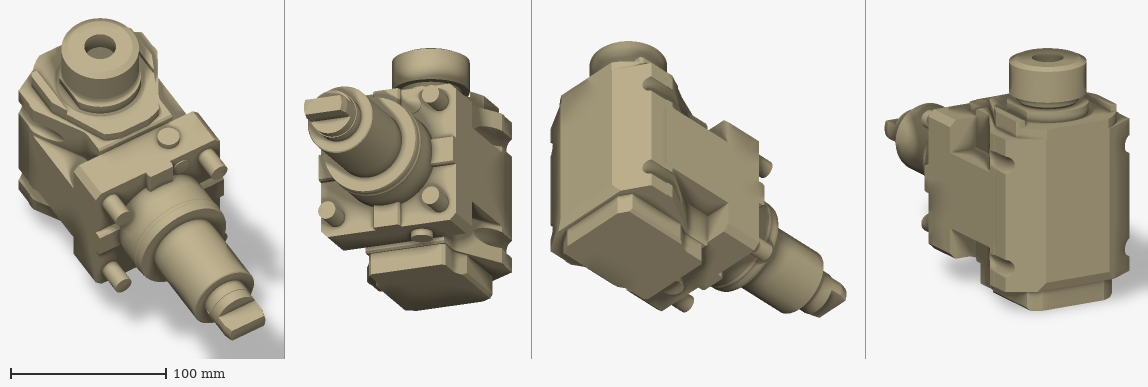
import cadquery as cq
import math


full_width = 94.0
half_width = full_width / 2
back_x = -38.0
front_x = 44.5
body_top = 52.2
body_bottom = -50.6
back_flat_half = 23.8
flank_angle = 30
flank_tangent = math.tan(math.radians(flank_angle))
side_relief = 0.5
side_relief_end_x = -10.9
body_front_chamfer = 1.3
toe_chamfer_height = 6.2
toe_chamfer_depth = 2.9

relief_floor = 25.3
neck_half_width = 27.5
neck_corner_x = 27.5
neck_blend = 10.7
relief_floor_fillet = 1.0
cutter_overrun = 11.0

screw_y = 36.2
screw_z = 34.9
screw_radius = 6.0
screw_end_x = 88.8
groove_tilt = 8.0
groove_start_x = -37.7
groove_length = 57.7

flange_end_x = 72.0
flange_half_height = 46.8
flange_chamfer = 4.2
key_half_width = 9.0
key_end_x = 76.8
key_chamfer_length = 1.8
key_chamfer_width = 0.9
key_inner_radius = 31.0
pin_x = 56.8
pin_y = 17.0
pin_radius = 7.0
pin_end = 51.0
face_boss_radius = 5.8
face_boss_height = 0.7
face_boss_z = 35.5

pilot_radius = 32.5
pilot_end_x = 104.1
pilot_lead_length = 2.0
pilot_lead_depth = 0.5
seal_x = 96.8
seal_half_length = 1.5
seal_protrusion = 0.5
shank_radius = 22.6
shank_end_x = 154.7
shank_chamfer = 0.7
nose_radius = 15.0
nose_end_x = 163.0
tang_base_radius = 14.7
tang_base_end_x = 170.0
tang_end_x = 184.0
tang_half_thickness = 5.0
tang_taper_x = 178.0
tang_tip_radius = 13.0
dimple_x = 159.0
dimple_radius = 1.3
dimple_depth = 1.3

cover_top = 58.8
cover_radius = 44.5
cover_half_width = 37.7
cover_front_x = 43.3
cover_diagonal_start_x = 2.0
cover_diagonal_end = (39.3, 20.6)
rail_top = 62.8
rail_width = 5.3
rail_back_x = -25.5
rail_front_x = 12.5
recess_floor_radius = 28.0
recess_mouth_radius = 29.7
recess_depth = 0.9

ring_radius = 26.5
ring_top = 64.8
ring_lip_height = 0.9
ring_flat_half = 23.0
ring_lip_flat_half = 23.8
neck_radius = 20.2
neck_cone_radius = 18.6
neck_cone_top = 66.4
nut_radius = 25.0
nut_bottom = 71.0
nut_top = 94.0
nut_chamfer_width = 4.2
nut_chamfer_height = 2.0
bore_radius = 10.2
bore_depth = 13.3

base_bottom = -64.8
base_back_x = -32.5
base_front_x = 42.0
base_half_width = 31.7
base_back_flat_half = 23.0
base_diagonal_start_x = 15.8
base_neck_half_width = 26.6
base_neck_blend = 9.5
base_chamfer = 2.0


def box(x_min, x_max, y_min, y_max, z_min, z_max):
    """Box between two opposite corners."""
    return (
        cq.Workplane("XY")
        .box(x_max - x_min, y_max - y_min, z_max - z_min, centered=False)
        .translate((x_min, y_min, z_min))
    )


def both_sides(half_points):
    """Closed XY outline from the +Y half, listed from back to front."""
    mirrored = [(x, -y) for x, y in reversed(half_points)]
    return half_points + mirrored


def corner_relief(side, level):
    """Cutter for one housing corner: a diagonal wall blended into a wall along X."""
    outside_y = half_width + cutter_overrun
    start_x = neck_corner_x - (outside_y - neck_half_width) / flank_tangent
    end_x = front_x + cutter_overrun
    cutter_height = body_top - relief_floor + cutter_overrun
    cutter = (
        cq.Workplane("XY")
        .workplane(offset=relief_floor)
        .polyline([
            (start_x, outside_y),
            (neck_corner_x, neck_half_width),
            (end_x, neck_half_width),
            (end_x, outside_y),
        ])
        .close()
        .extrude(cutter_height)
    )
    neck_edge = cq.selectors.NearestToPointSelector(
        (neck_corner_x, neck_half_width, relief_floor + cutter_height / 2)
    )
    cutter = cutter.edges(neck_edge).fillet(neck_blend)
    wall_foot = cq.selectors.NearestToPointSelector(
        ((neck_corner_x + end_x) / 2, neck_half_width, relief_floor)
    )
    cutter = cutter.edges(wall_foot).fillet(relief_floor_fillet)
    if side < 0:
        cutter = cutter.mirror("XZ")
    if level < 0:
        cutter = cutter.mirror("XY")
    return cutter


def access_groove(side, level):
    """Round groove that starts on the flank and sinks gently inwards towards the screw."""
    tilt = math.radians(groove_tilt)
    flank_end_x = back_x + (half_width - back_flat_half) * flank_tangent
    start_y = half_width + (flank_end_x - groove_start_x) * math.tan(tilt)
    start = cq.Vector(groove_start_x, side * start_y, level * screw_z)
    direction = cq.Vector(math.cos(tilt), -side * math.sin(tilt), 0)
    return cq.Workplane(cq.Solid.makeCylinder(screw_radius, groove_length, start, direction))


def make_housing():
    relieved_half = half_width - side_relief
    flank_end_x = back_x + (relieved_half - back_flat_half) * flank_tangent
    outline = both_sides([
        (back_x, back_flat_half),
        (flank_end_x, relieved_half),
        (side_relief_end_x, relieved_half),
        (side_relief_end_x, half_width),
        (front_x, half_width),
    ])
    body = (
        cq.Workplane("XY")
        .workplane(offset=body_bottom)
        .polyline(outline)
        .close()
        .extrude(body_top - body_bottom)
    )
    body = body.faces(">X").edges("|Y").chamfer(body_front_chamfer)
    toe = (
        cq.Workplane("XZ")
        .polyline([
            (back_x, body_bottom + toe_chamfer_height),
            (back_x + toe_chamfer_depth, body_bottom),
            (back_x, body_bottom),
        ])
        .close()
        .extrude(half_width, both=True)
    )
    body = body.cut(toe)
    for side in (1, -1):
        for level in (1, -1):
            body = body.cut(corner_relief(side, level))
            body = body.cut(access_groove(side, level))
    return body


def make_key(angle, outer_distance):
    """Driving key on the flange face, turned about X to one of the four sides."""
    plan = both_sides([
        (front_x, key_half_width),
        (key_end_x - key_chamfer_length, key_half_width),
        (key_end_x, key_half_width - key_chamfer_width),
    ])
    return (
        cq.Workplane("XY")
        .workplane(offset=key_inner_radius)
        .polyline(plan)
        .close()
        .extrude(outer_distance - key_inner_radius)
        .rotate((0, 0, 0), (1, 0, 0), angle)
    )


def make_flange():
    flange = box(
        front_x, flange_end_x, -half_width, half_width, -flange_half_height, flange_half_height
    )
    flange = flange.edges("|X").chamfer(flange_chamfer)
    for angle in (0, 180):
        flange = flange.union(make_key(angle, flange_half_height))
    for angle in (90, 270):
        flange = flange.union(make_key(angle, half_width))
    screws = (
        cq.Workplane("YZ")
        .workplane(offset=front_x)
        .rect(2 * screw_y, 2 * screw_z, forConstruction=True)
        .vertices()
        .circle(screw_radius)
        .extrude(screw_end_x - front_x)
    )
    pin = cq.Workplane("XY").center(pin_x, pin_y).circle(pin_radius).extrude(pin_end, both=True)
    face_boss = (
        cq.Workplane("YZ")
        .workplane(offset=front_x)
        .center(pin_y, face_boss_z)
        .circle(face_boss_radius)
        .extrude(flange_end_x + face_boss_height - front_x)
    )
    return flange.union(screws).union(pin).union(face_boss)


def make_shank():
    before_seal = [
        (front_x, 0),
        (front_x, pilot_radius),
        (seal_x - seal_half_length, pilot_radius),
    ]
    seal_crest = (seal_x, pilot_radius + seal_protrusion)
    seal_end = (seal_x + seal_half_length, pilot_radius)
    after_seal = [
        (pilot_end_x - pilot_lead_length, pilot_radius),
        (pilot_end_x, pilot_radius - pilot_lead_depth),
        (pilot_end_x, shank_radius),
        (shank_end_x - shank_chamfer, shank_radius),
        (shank_end_x, shank_radius - shank_chamfer),
        (shank_end_x, nose_radius),
        (nose_end_x, nose_radius),
        (nose_end_x, tang_base_radius),
        (tang_taper_x, tang_base_radius),
        (tang_end_x, tang_tip_radius),
        (tang_end_x, 0),
    ]
    profile = (
        cq.Workplane("XY")
        .polyline(before_seal)
        .threePointArc(seal_crest, seal_end)
        .polyline(after_seal, includeCurrent=True)
        .close()
    )
    shank = profile.revolve(360, (0, 0, 0), (1, 0, 0))

    flat = box(
        tang_base_end_x, tang_end_x,
        -tang_base_radius, tang_base_radius,
        tang_half_thickness, tang_base_radius,
    )
    shank = shank.cut(flat).cut(flat.mirror("XY"))

    dimple = (
        cq.Workplane("XZ")
        .workplane(offset=nose_radius - dimple_depth)
        .center(dimple_x, 0)
        .circle(dimple_radius)
        .extrude(2 * dimple_depth)
    )
    return shank.cut(dimple)


def cover_prism(height):
    """Cover outline raised from the housing top: a disc trimmed by flats and two front diagonals."""
    slope_x, slope_y = cover_diagonal_end
    slope = (cover_half_width - slope_y) / (slope_x - cover_diagonal_start_x)
    reach_y = cover_half_width - slope * (cover_front_x - cover_diagonal_start_x)
    outline = both_sides([
        (back_x, cover_half_width),
        (cover_diagonal_start_x, cover_half_width),
        (cover_front_x, reach_y),
    ])
    disc = cq.Workplane("XY").workplane(offset=body_top).circle(cover_radius).extrude(height)
    trim = cq.Workplane("XY").workplane(offset=body_top).polyline(outline).close().extrude(height)
    return disc.intersect(trim)


def make_cover():
    cover = cover_prism(cover_top - body_top)

    recess = cq.Workplane(cq.Solid.makeCone(
        recess_floor_radius, recess_mouth_radius, recess_depth, cq.Vector(0, 0, cover_top - recess_depth)
    ))
    cover = cover.cut(recess)

    tall_cover = cover_prism(rail_top - body_top)
    rail_inner_y = cover_half_width - rail_width
    rail = tall_cover.intersect(
        box(rail_back_x, rail_front_x, rail_inner_y, cover_half_width, body_top, rail_top)
    )
    return cover.union(rail).union(rail.mirror("XZ"))


def make_spindle():
    profile = [
        (0, body_top),
        (ring_radius, body_top),
        (ring_radius, ring_top),
        (neck_cone_radius, ring_top),
        (neck_radius, neck_cone_top),
        (neck_radius, nut_bottom),
        (nut_radius, nut_bottom),
        (nut_radius, nut_top - nut_chamfer_height),
        (nut_radius - nut_chamfer_width, nut_top),
        (bore_radius, nut_top),
        (bore_radius, nut_top - bore_depth),
        (0, nut_top - bore_depth),
    ]
    spindle = cq.Workplane("XZ").polyline(profile).close().revolve(360, (0, 0, 0), (0, 1, 0))

    lip_bottom = ring_top - ring_lip_height
    flat = box(
        -ring_radius, ring_radius, ring_flat_half, ring_radius, cover_top - recess_depth, lip_bottom
    ).union(box(-ring_radius, ring_radius, ring_lip_flat_half, ring_radius, lip_bottom, ring_top))
    return spindle.cut(flat).cut(flat.mirror("XZ"))


def make_base():
    flank_end_x = base_back_x + (base_half_width - base_back_flat_half) * flank_tangent
    neck_x = base_diagonal_start_x + (base_half_width - base_neck_half_width) / flank_tangent
    outline = both_sides([
        (base_back_x, base_back_flat_half),
        (flank_end_x, base_half_width),
        (base_diagonal_start_x, base_half_width),
        (neck_x, base_neck_half_width),
        (base_front_x, base_neck_half_width),
    ])
    base = (
        cq.Workplane("XY")
        .workplane(offset=base_bottom)
        .polyline(outline)
        .close()
        .extrude(body_bottom - base_bottom)
    )
    for side in (1, -1):
        neck_edge = cq.selectors.NearestToPointSelector(
            (neck_x, side * base_neck_half_width, (base_bottom + body_bottom) / 2)
        )
        base = base.edges(neck_edge).fillet(base_neck_blend)
    base = base.faces(">X").edges("|Z").chamfer(base_chamfer)

    side_edges = base.faces("<Y or >Y").edges("<Z")
    return side_edges.chamfer(base_chamfer)


result = (
    make_housing()
    .union(make_flange())
    .union(make_shank())
    .union(make_cover())
    .union(make_spindle())
    .union(make_base())
)